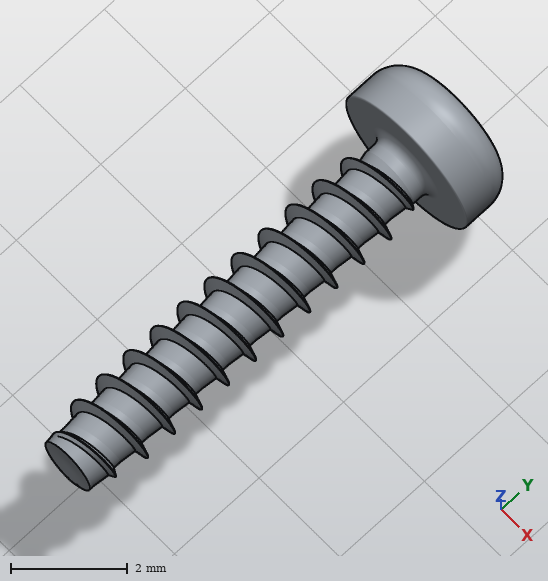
import cadquery as cq
import math


HEAD_RADIUS = 1.5
HEAD_HEIGHT = 1.2
HEAD_DOME_RADIUS = HEAD_HEIGHT / 2
HEAD_RIM_RADIUS = 0.03

LENGTH_UNDER_HEAD = 8.0
NECK_RADIUS = 0.6
NECK_FILLET = 0.2
NECK_LENGTH = 2 * NECK_FILLET
NECK_TAPER_LENGTH = 0.25
CORE_RADIUS = 0.54
TIP_DIMPLE_RADIUS = 0.5
TIP_DIMPLE_DEPTH = 0.035

PITCH = 0.64
CREST_RADIUS = 0.8
CREST_WIDTH = 0.014
HEAD_FLANK_WIDTH = 0.1
TIP_FLANK_WIDTH = 0.075
SHOULDER_RADIUS = 0.57
SHOULDER_WIDTH = 0.32
END_CREST_HEIGHT = 0.005
ROOT_OVERLAP = CORE_RADIUS - TIP_DIMPLE_RADIUS
SHOULDER_OVERLAP = 0.01
CREST_DEPTH_AT_PLUS_X = 0.478

THREAD_START = 0.34
FULL_THREAD_START = 0.95
FULL_THREAD_END = 7.05
FADE_OUT_END = 7.85
THREAD_END = LENGTH_UNDER_HEAD + HEAD_FLANK_WIDTH + CREST_WIDTH
START_CREST_RADIUS = 0.65
END_CREST_RADIUS = SHOULDER_RADIUS + END_CREST_HEIGHT
INTERVALS_PER_SPAN = 24


def revolved_body():
    """Head (dome, wall, rim), neck, core and shallow conical tip dimple turned about the Y axis."""
    dome_start = HEAD_HEIGHT - HEAD_DOME_RADIUS
    diagonal = math.sqrt(0.5)
    rim_mid = HEAD_RIM_RADIUS * (1 - diagonal)
    dome_mid = HEAD_DOME_RADIUS * (1 - diagonal)
    fillet_mid = NECK_FILLET * (1 - diagonal)
    return (
        cq.Workplane("XY")
        .moveTo(0, HEAD_HEIGHT)
        .lineTo(HEAD_RADIUS - HEAD_DOME_RADIUS, HEAD_HEIGHT)
        .threePointArc((HEAD_RADIUS - dome_mid, HEAD_HEIGHT - dome_mid), (HEAD_RADIUS, dome_start))
        .lineTo(HEAD_RADIUS, HEAD_RIM_RADIUS)
        .threePointArc((HEAD_RADIUS - rim_mid, rim_mid), (HEAD_RADIUS - HEAD_RIM_RADIUS, 0))
        .lineTo(NECK_RADIUS + NECK_FILLET, 0)
        .threePointArc((NECK_RADIUS + fillet_mid, -fillet_mid), (NECK_RADIUS, -NECK_FILLET))
        .lineTo(NECK_RADIUS, -NECK_LENGTH)
        .lineTo(CORE_RADIUS, -NECK_LENGTH - NECK_TAPER_LENGTH)
        .lineTo(CORE_RADIUS, -LENGTH_UNDER_HEAD)
        .lineTo(TIP_DIMPLE_RADIUS, -LENGTH_UNDER_HEAD)
        .lineTo(0, TIP_DIMPLE_DEPTH - LENGTH_UNDER_HEAD)
        .close()
        .revolve(360, (0, 0, 0), (0, 1, 0))
    )


def crest_radius(depth):
    """Crest radius at a crest depth, falling off linearly at both ends of the thread."""
    if depth < FULL_THREAD_START:
        missing = (FULL_THREAD_START - depth) / (FULL_THREAD_START - THREAD_START)
        return CREST_RADIUS - missing * (CREST_RADIUS - START_CREST_RADIUS)
    if depth > FULL_THREAD_END:
        missing = min((depth - FULL_THREAD_END) / (FADE_OUT_END - FULL_THREAD_END), 1)
        return CREST_RADIUS - missing * (CREST_RADIUS - END_CREST_RADIUS)
    return CREST_RADIUS


def thread_profile(depth):
    """Points of the thread section: axial offset from the crest towards the tip, and radius."""
    half_crest = CREST_WIDTH / 2
    root_radius = CORE_RADIUS - ROOT_OVERLAP
    crest = crest_radius(depth)
    shoulder_start = half_crest + TIP_FLANK_WIDTH
    shoulder_slope = (SHOULDER_RADIUS - CORE_RADIUS) / SHOULDER_WIDTH
    buried_end = shoulder_start + SHOULDER_WIDTH + SHOULDER_OVERLAP / shoulder_slope
    return [
        (-half_crest - HEAD_FLANK_WIDTH, root_radius),
        (-half_crest, crest),
        (half_crest, crest),
        (shoulder_start, SHOULDER_RADIUS),
        (buried_end, CORE_RADIUS - SHOULDER_OVERLAP),
        (buried_end, root_radius),
    ]


def thread_section(depth):
    """Corners of the thread section in space at a crest depth."""
    angle = 2 * math.pi * (depth - CREST_DEPTH_AT_PLUS_X) / PITCH
    return [
        cq.Vector(radius * math.cos(angle), -depth - offset, radius * math.sin(angle))
        for offset, radius in thread_profile(depth)
    ]


def thread_spans():
    """Depth ranges of the fade-in, of each stretch of full thread and of the fade-out."""
    full_length = FULL_THREAD_END - FULL_THREAD_START
    count = math.ceil(full_length / PITCH)
    breaks = [FULL_THREAD_START + full_length * i / count for i in range(count + 1)]
    breaks = [THREAD_START] + breaks + [FADE_OUT_END, THREAD_END]
    return list(zip(breaks, breaks[1:]))


def thread_ridge():
    """Helical ridge with a pointed crest, a sloping shoulder on the tip side and faded ends."""
    faces = []
    for start, end in thread_spans():
        step = (end - start) / INTERVALS_PER_SPAN
        sections = [thread_section(start + i * step) for i in range(INTERVALS_PER_SPAN + 1)]
        edges = [cq.Edge.makeSpline(list(corners)) for corners in zip(*sections)]
        next_edges = edges[1:] + edges[:1]
        faces += [cq.Face.makeRuledSurface(edge, other) for edge, other in zip(edges, next_edges)]
    for depth in (THREAD_START, THREAD_END):
        outline = cq.Wire.makePolygon(thread_section(depth), close=True)
        faces.append(cq.Face.makeFromWires(outline))
    return cq.Workplane(cq.Solid.makeSolid(cq.Shell.makeShell(faces)))


def thread_envelope():
    """Cylinder from the end of the neck to the tip face that bounds the thread."""
    thread_length = LENGTH_UNDER_HEAD - NECK_LENGTH
    return cq.Workplane("XZ", origin=(0, -NECK_LENGTH, 0)).circle(HEAD_RADIUS).extrude(thread_length)


result = revolved_body().union(thread_ridge().intersect(thread_envelope()))